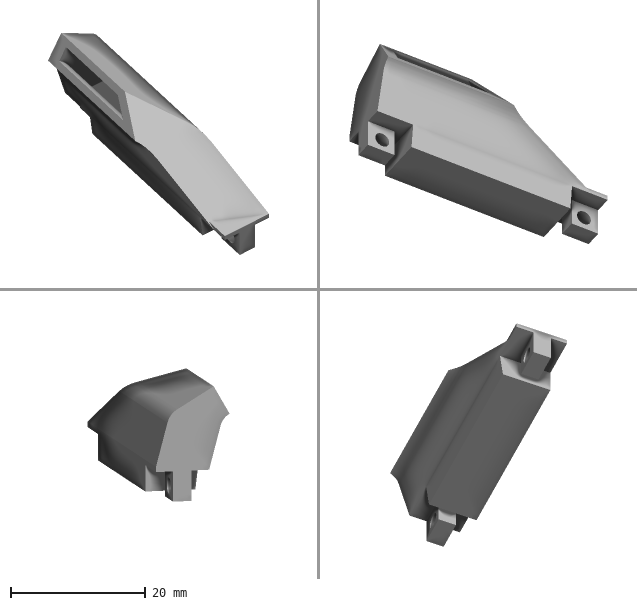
import cadquery as cq
import math

length = 40.0
front_reach = 11.35
body_height = 12.6

side_lean = 15.0
roof_slope = 30.0
base_depth = 8.2
back_foot_height = 0.8
face_width = 4.9
roof_bend_radius = 3.2
overhang_bend_radius = 2.8

nose_per_y = 0.49
nose_per_z = -1.67
toe_height = 0.8
toe_start = 20.0

wall = 1.2
end_wall = 2.0
floor_height = toe_height

lug_length = 4.6
lug_width = 2.8
lug_height = 4.6
lug_front_gap = 2.75
lug_hole_diameter = 2.4
lug_hole_inset = 2.5
lug_hole_depth = 2.55
block_start = 6.2
block_end = 33.8
block_height = 4.0
block_front_taper = 0.5

lean_rate = math.tan(math.radians(side_lean))
roof_cos = math.cos(math.radians(roof_slope))
roof_sin = math.sin(math.radians(roof_slope))
roof_rate = roof_sin / roof_cos

ridge = (roof_sin * face_width - front_reach, body_height)
tip = (-front_reach, body_height - roof_cos * face_width)


def side_meets_slope(foot, slope_point):
    """Point where a leaning side from foot meets the roof-angle line through slope_point."""
    rise = slope_point[1] - foot[1] + roof_rate * (slope_point[0] - foot[0])
    height = rise / (1 - roof_rate * lean_rate)
    return (foot[0] - lean_rate * height, foot[1] + height)


def prism(points, start, end):
    """Extrude a (Y, Z) outline along X."""
    return cq.Workplane("YZ", origin=(start, 0, 0)).polyline(points).close().extrude(end - start)


def round_bend(solid, corner, radius):
    """Round the lengthwise edge that passes through a (Y, Z) corner."""
    margin = 0.005
    low = (-0.4, corner[0] - margin, corner[1] - margin)
    high = (length + 0.4, corner[0] + margin, corner[1] + margin)
    return solid.edges("|X").edges(cq.selectors.BoxSelector(low, high)).fillet(radius)


def nose_prism(points, start, inset, roof_radius, overhang_radius, roof_bend, overhang_bend):
    """Bent prism with rounded bends, cut off by the nose plane moved inwards by inset."""
    solid = prism(points, start, length)
    solid = round_bend(solid, roof_bend, roof_radius)
    solid = round_bend(solid, overhang_bend, overhang_radius)
    steepness = math.sqrt(1 + nose_per_y**2 + nose_per_z**2)
    origin = (length - inset * steepness, 0, toe_height)
    nose_plane = cq.Plane(origin=origin, xDir=(nose_per_y, 1, 0), normal=(1, -nose_per_y, -nose_per_z))
    waste = cq.Workplane(nose_plane).rect(4 * length, 4 * length).extrude(2 * length)
    return solid.cut(waste)


def make_body():
    back_foot = (0, back_foot_height)
    front_foot = (-base_depth, 0)
    roof_bend = side_meets_slope(back_foot, ridge)
    overhang_bend = side_meets_slope(front_foot, tip)
    outline = [(0, 0), back_foot, roof_bend, ridge, tip, overhang_bend, front_foot]
    return nose_prism(outline, 0, 0, roof_bend_radius, overhang_bend_radius, roof_bend, overhang_bend)


def make_hollow():
    side_shift = wall / math.cos(math.radians(side_lean))
    back_line = (-side_shift + lean_rate * back_foot_height, 0)
    front_line = (side_shift - base_depth, 0)
    window_top = (ridge[0] - wall * roof_sin, ridge[1] - wall * roof_cos)
    window_bottom = (tip[0] + wall * roof_sin, tip[1] + wall * roof_cos)
    roof_bend = side_meets_slope(back_line, window_top)
    overhang_bend = side_meets_slope(front_line, window_bottom)
    floor_shift = lean_rate * floor_height
    back_floor = (back_line[0] - floor_shift, floor_height)
    front_floor = (front_line[0] - floor_shift, floor_height)
    outline = [back_floor, roof_bend, window_top, window_bottom, overhang_bend, front_floor]
    return nose_prism(
        outline, end_wall, wall, roof_bend_radius - wall, overhang_bend_radius + wall, roof_bend, overhang_bend
    )


def make_toe():
    toe = cq.Workplane("XY").box(length - toe_start, base_depth, toe_height, centered=False)
    return toe.translate((toe_start, -base_depth, 0))


def make_block():
    outline = [(0, 0), (-base_depth, 0), (block_front_taper - base_depth, -block_height), (0, -block_height)]
    return prism(outline, block_start, block_end)


def make_lug(start, hole_x):
    lug_front = lug_front_gap - base_depth
    lug = cq.Workplane("XY").box(lug_length, lug_width, lug_height, centered=False)
    lug = lug.translate((start, lug_front, -lug_height))
    hole = cq.Workplane("XZ", origin=(hole_x, 0, -lug_hole_depth)).circle(lug_hole_diameter / 2)
    return lug.cut(hole.extrude(base_depth))


result = make_body().cut(make_hollow()).union(make_toe()).union(make_block())
for lug_start, hole_position in [(0, lug_hole_inset), (length - lug_length, length - lug_hole_inset)]:
    result = result.union(make_lug(lug_start, hole_position))